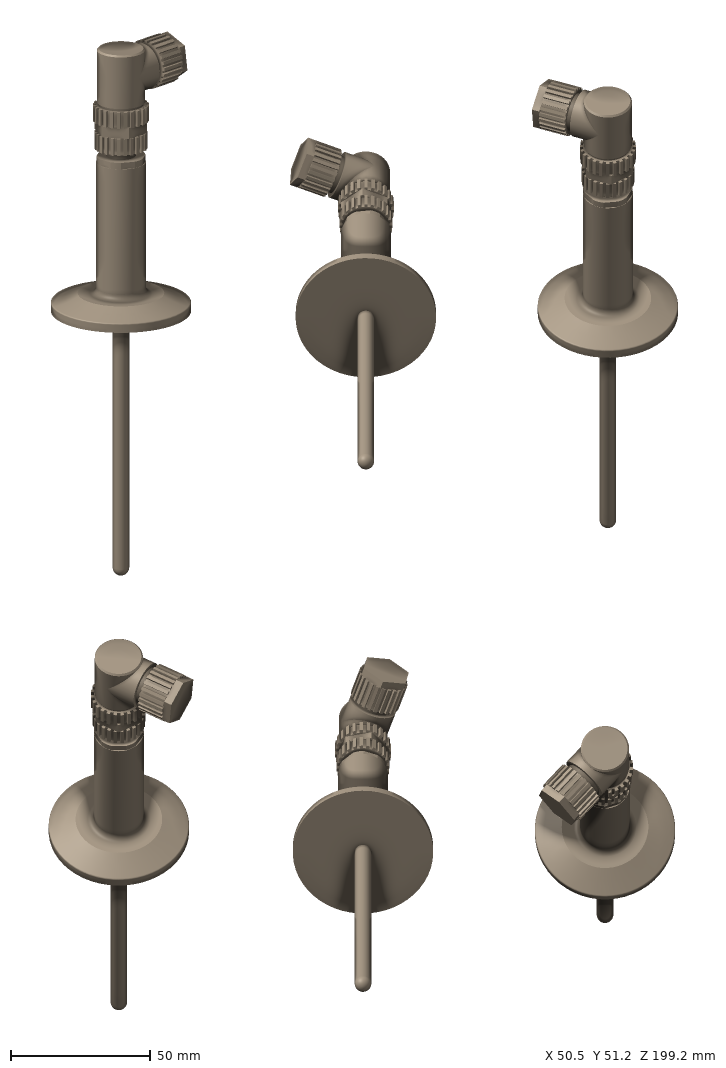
import cadquery as cq
import math

PROBE_LENGTH = 100.0
TOTAL_HEIGHT = 199.2
TOP_Z = TOTAL_HEIGHT - PROBE_LENGTH
TUBE_TOP_Z = 56.4
STUB_HEAD_TOP_Z = 58.8
NUT_COLLAR_BOTTOM_Z = 60.5
NUT_RIB_BOTTOM_Z = 61.5
NUT_HEX_BOTTOM_Z = 68.0
RING_BOTTOM_Z = 72.1
RING_TOP_Z = 78.1
ELBOW_BOTTOM_Z = 79.1

PROBE_DIAMETER = 6.0
FLANGE_DIAMETER = 50.5
FLANGE_FLAT_DIAMETER = 31.0
FLANGE_RIM_HEIGHT = 3.4
FLANGE_HEIGHT = 6.8
FLANGE_EDGE_ROUND = 0.5
TUBE_DIAMETER = 18.0
TUBE_FOOT_FILLET = 2.2

STUB_SHANK_DIAMETER = 10.8
STUB_HEAD_DIAMETER = 17.7
STUB_HEAD_ACROSS_FLATS = 17.0

RIB_COUNT = 24
RIB_WIDTH = 1.2

NUT_COLLAR_DIAMETER = 12.4
NUT_COLLAR_CHAMFER = 0.5
NUT_ROOT_DIAMETER = 17.0
NUT_RIB_DIAMETER = 19.0
NUT_HEX_CORNERS = 19.3
NUT_HEX_TURN = 30.0
RING_ROOT_DIAMETER = 18.0
RING_RIB_DIAMETER = 20.1
COUPLING_RIB_TURN = 180 / RIB_COUNT

ELBOW_DIAMETER = 17.3
ELBOW_TOP_CHAMFER = 0.5
SHOULDER_DIAMETER = 16.3
SPIGOT_DIAMETER = 14.0
BRANCH_Z = 89.9
BRANCH_END_Y = 11.2

GLAND_START_Y = 13.2
GLAND_HEX_START_Y = 23.1
OVERALL_DEPTH = 51.2
GLAND_END_Y = OVERALL_DEPTH - FLANGE_DIAMETER / 2
GLAND_ROOT_DIAMETER = 16.3
GLAND_RIB_DIAMETER = 18.1
GLAND_RIB_TURN = 0.0
GLAND_HEX_CORNERS = 18.3
GLAND_HEX_TURN = -38.0


def disc(diameter, bottom, top):
    """Solid cylinder on the Z axis between two heights."""
    return cq.Workplane().workplane(offset=bottom).circle(diameter / 2).extrude(top - bottom)


def hexagon(across_corners, bottom, top, turn=0.0):
    """Hexagonal prism on the Z axis, its first corner turned from +X by an angle."""
    prism = cq.Workplane().workplane(offset=bottom).polygon(6, across_corners).extrude(top - bottom)
    return prism.rotate((0, 0, 0), (0, 0, 1), turn)


def ribbed_disc(root_diameter, rib_diameter, bottom, top, first_turn):
    """Disc on the Z axis with straight ribs spaced evenly around its rim."""
    blade_start = root_diameter / 4
    blade_length = rib_diameter / 2 - blade_start
    blade = (
        cq.Workplane()
        .box(blade_length, RIB_WIDTH, top - bottom, centered=(False, True, False))
        .translate((blade_start, 0, bottom))
    )
    body = disc(root_diameter, bottom, top)
    for rib in range(RIB_COUNT):
        body = body.union(blade.rotate((0, 0, 0), (0, 0, 1), first_turn + rib * 360 / RIB_COUNT))
    return body


def lay_along_branch(body):
    """Move a body from the Z axis to the branch axis, so that its heights become +Y distances."""
    return body.rotate((0, 0, 0), (1, 0, 0), -90).translate((0, 0, BRANCH_Z))


def make_probe():
    """Rod below the flange with a hemispherical tip."""
    tip_radius = PROBE_DIAMETER / 2
    tip_centre_z = tip_radius - PROBE_LENGTH
    tip = cq.Workplane(origin=(0, 0, tip_centre_z)).sphere(tip_radius)
    return disc(PROBE_DIAMETER, tip_centre_z, 0).union(tip)


def make_housing():
    """Clamp flange with a sloping upper side and the tube that rises from it."""
    flange_radius = FLANGE_DIAMETER / 2
    tube_radius = TUBE_DIAMETER / 2
    body = (
        cq.Workplane("XZ")
        .lineTo(flange_radius, 0)
        .lineTo(flange_radius, FLANGE_RIM_HEIGHT)
        .lineTo(FLANGE_FLAT_DIAMETER / 2, FLANGE_HEIGHT)
        .lineTo(tube_radius + TUBE_FOOT_FILLET, FLANGE_HEIGHT)
        .radiusArc((tube_radius, FLANGE_HEIGHT + TUBE_FOOT_FILLET), TUBE_FOOT_FILLET)
        .lineTo(tube_radius, TUBE_TOP_Z)
        .lineTo(0, TUBE_TOP_Z)
        .close()
        .revolve(360, (0, 0, 0), (0, 1, 0))
    )
    widest_circles = body.edges(cq.selectors.RadiusNthSelector(-1))
    return widest_circles.edges(">Z").fillet(FLANGE_EDGE_ROUND)


def make_stub_shank():
    return disc(STUB_SHANK_DIAMETER, STUB_HEAD_TOP_Z, RING_BOTTOM_Z)


def make_stub():
    """Head seated on the tube, with the shank standing on it."""
    head_corners = STUB_HEAD_ACROSS_FLATS / math.cos(math.pi / 6)
    flats = hexagon(head_corners, TUBE_TOP_Z, STUB_HEAD_TOP_Z)
    head = disc(STUB_HEAD_DIAMETER, TUBE_TOP_Z, STUB_HEAD_TOP_Z).intersect(flats)
    return head.union(make_stub_shank())


def make_coupling_nut():
    """Ribbed nut with a hexagon above the ribs and a small collar below them."""
    collar = disc(NUT_COLLAR_DIAMETER, NUT_COLLAR_BOTTOM_Z, NUT_RIB_BOTTOM_Z)
    collar = collar.faces("<Z").chamfer(NUT_COLLAR_CHAMFER)
    ribs = ribbed_disc(
        NUT_ROOT_DIAMETER, NUT_RIB_DIAMETER, NUT_RIB_BOTTOM_Z, NUT_HEX_BOTTOM_Z,
        COUPLING_RIB_TURN,
    )
    head = hexagon(NUT_HEX_CORNERS, NUT_HEX_BOTTOM_Z, RING_BOTTOM_Z, NUT_HEX_TURN)
    return collar.union(ribs).union(head).cut(make_stub_shank())


def make_retaining_ring():
    """Ribbed ring around the lower spigot of the elbow."""
    ribs = ribbed_disc(
        RING_ROOT_DIAMETER, RING_RIB_DIAMETER, RING_BOTTOM_Z, RING_TOP_Z,
        COUPLING_RIB_TURN,
    )
    return ribs.cut(disc(SPIGOT_DIAMETER, RING_BOTTOM_Z, RING_TOP_Z))


def make_elbow():
    """Barrel and branch, each ending in a spigot for the part fitted there."""
    barrel = disc(ELBOW_DIAMETER, ELBOW_BOTTOM_Z, TOP_Z).faces(">Z").chamfer(ELBOW_TOP_CHAMFER)
    branch = lay_along_branch(disc(ELBOW_DIAMETER, 0, BRANCH_END_Y))
    shoulder = disc(SHOULDER_DIAMETER, RING_TOP_Z, ELBOW_BOTTOM_Z)
    ring_spigot = disc(SPIGOT_DIAMETER, RING_BOTTOM_Z, RING_TOP_Z)
    gland_spigot = lay_along_branch(disc(SPIGOT_DIAMETER, BRANCH_END_Y, GLAND_HEX_START_Y))
    return barrel.union(branch).union(shoulder).union(ring_spigot).union(gland_spigot)


def make_gland_nut():
    """Ribbed cap with a hexagonal end, bored to the depth of the ribs."""
    ribs = ribbed_disc(
        GLAND_ROOT_DIAMETER, GLAND_RIB_DIAMETER, GLAND_START_Y, GLAND_HEX_START_Y,
        GLAND_RIB_TURN,
    )
    bore = disc(SPIGOT_DIAMETER, GLAND_START_Y, GLAND_HEX_START_Y)
    head = hexagon(GLAND_HEX_CORNERS, GLAND_HEX_START_Y, GLAND_END_Y, GLAND_HEX_TURN)
    return lay_along_branch(ribs.cut(bore).union(head))


probe = make_probe()
housing = make_housing()
stub = make_stub()
coupling_nut = make_coupling_nut()
retaining_ring = make_retaining_ring()
elbow = make_elbow()
gland_nut = make_gland_nut()

result = cq.Compound.makeCompound([
    probe.val(),
    housing.val(),
    stub.val(),
    coupling_nut.val(),
    retaining_ring.val(),
    elbow.val(),
    gland_nut.val(),
])